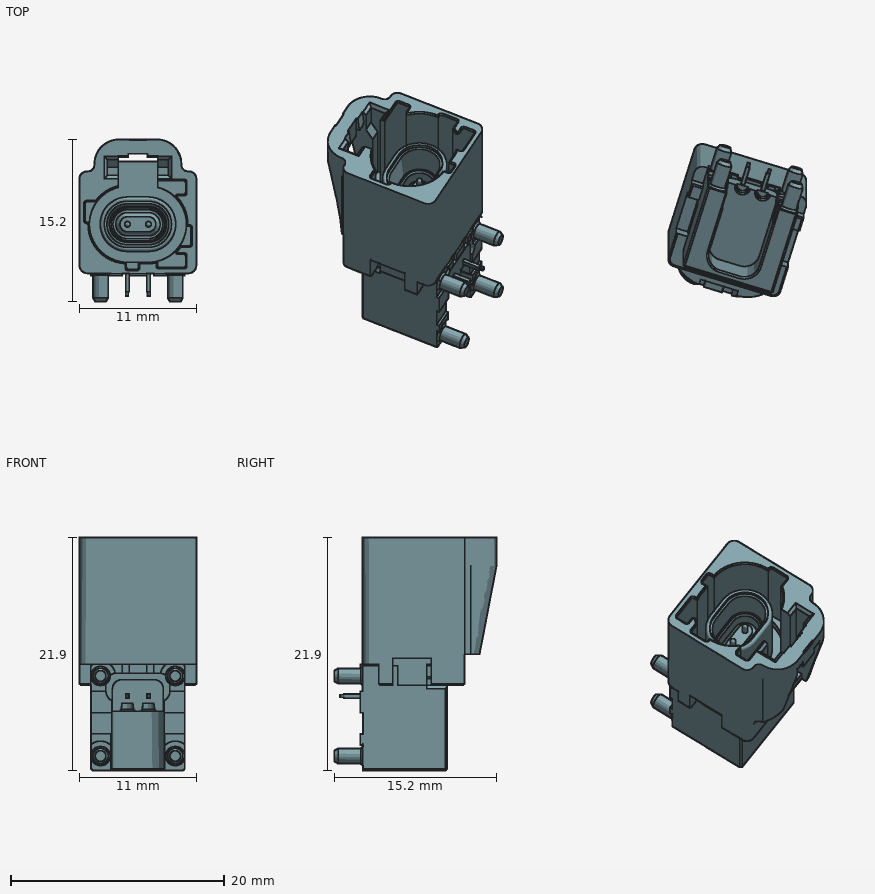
import cadquery as cq
import math

EMBED = 0.22
CONTACT_X = 0.99

TOP_Z = 21.9
HOUSING_HALF_X = 5.5
HOUSING_FRONT_Y = -4.62
HOUSING_BACK_Y = 4.97
HOUSING_BOTTOM_Z = 8.02
HOUSING_FRONT_CORNER = 0.79
HOUSING_BACK_CORNER = 0.72
HOUSING_BOTTOM_CHAMFER = 0.15
FRONT_SKIRT_Z = 10.0
FOOT_FRONT_Y = -3.09
FOOT_BACK_Y = -1.77
WINDOW_BACK_Y = 1.85
WINDOW_TOP_Z = 10.55

HOOD_HALF_X = 4.1
HOOD_BACK_Y = 7.97
HOOD_CORNER_WIDTH = 2.35
HOOD_ROOT_FILLET = 0.6
HOOD_TAPER_TOP_Z = 19.23
HOOD_BOTTOM_Z = 10.9
HOOD_BOTTOM_BACK_Y = 6.37
HOOD_OVERLAP = 0.6
HOOD_NOTCH_HALF_X = 0.77
HOOD_NOTCH_DEPTH = 0.1

FLOOR_Z = 11.83
KEY_FLOOR_Z = 12.7
BORE_R = 3.57
KEY_CORNER = 0.18
LAND_Y = 2.8
LAND_FILLET = 0.22
LAND_TIP_REACH = 0.22
KEYWAYS = (
    (-4.95, -3.28, 0.2, 2.1),
    (3.28, 4.97, -2.01, -0.18),
    (0.88, 4.47, LAND_Y, 4.1),
    (1.85, 4.47, -4.05, -LAND_Y),
    (-1.07, 0.05, -4.23, -3.07),
)
RIM_CHAMFER = 0.13

LATCH_HALF_X = 1.85
LATCH_SHELF_Y = 5.9
LATCH_GAP_Y = 6.29
LATCH_GAP_TOP_Y = 6.44
RELIEF_HALF_X = 0.9
RELIEF_Y = 6.6
HOOD_WINDOW_TOP_Z = 19.38
WINDOW_SIDE_TOP_Z = 20.25
POCKET_HALF_X = 3.18
POCKET_FRONT_Y = 4.27
POCKET_BACK_Y = 6.37
POCKET_LEAD_IN = 0.3
POCKET_LOWER_BACK_Y = 5.37
RAMP_TOP_Z = 19.5
RAMP_BOTTOM_Z = 18.46

SHROUD_R = 2.56
SHROUD_TOP_Z = 18.88
SHROUD_ROUND = 0.26
SHROUD_MOUTH_R = 2.17
SHROUD_MOUTH_DEPTH = 0.33
FUNNEL_TOP_R = 1.93
FUNNEL_BOTTOM_R = 1.69
FUNNEL_DEPTH = 2.63
THROAT_R = 1.53
SHROUD_BORE_R = 1.35
INSERT_R = 1.1
INSERT_TOP_Z = 15.33
INSERT_CHAMFER = 0.4
CONTACT_R = 0.26
CONTACT_TIP_ROUND = 0.22
CONTACT_TOP_Z = 16.42

BASE_HALF_X = 4.4
BASE_FRONT_Y = -4.58
BASE_BACK_Y = 3.33
BASE_CHAMFER = 0.18
BASE_REAR_CHAMFER = 0.33
TAB_HALF_X = 4.38
TAB_FRONT_Y = -1.31
TAB_BACK_Y = 1.4
RECESS_LOWER_X = 3.99
RECESS_UPPER_X = 4.16
RECESS_STEP_Z = 8.63

CHANNEL_HALF_X = 2.45
CHANNEL_WIDE_HALF_X = 2.55
CHANNEL_WIDE_BACK_Y = -3.07
CHANNEL_BACK_Y = 2.63
CHANNEL_CORNER = 1.47
CHANNEL_TOP_Z = 5.56

ARCH_HALF_X = 3.0
ARCH_TOP_Z = 9.15
ARCH_BOTTOM_Z = 6.48
ARCH_CORNER = 0.99
ARCH_DEPTH = 0.35
BLOCK_HALF_X = 2.39
BLOCK_TOP_Z = 8.55
BLOCK_CORNER = 0.85
BLOCK_FRONT_Y = -4.65

PAD_FRONT_Y = -4.85
PAD_HIGH_Z = 7.47
PAD_MID_Z = 5.43
PAD_LOW_Z = 3.45
PAD_GROOVE_INNER_X = 0.8
PAD_GROOVE_OUTER_X = 1.5

PEG_X = 3.5
PEG_Z = (1.38, 8.9)
PEG_R = 0.72
PEG_TIP_Y = -7.27
PEG_TIP_CHAMFER = (0.37, 0.22)
PEG_ROOT_R = 0.9
PEG_ROOT_LENGTH = 0.22
PEG_CLEARANCE_R = 1.4

TAIL_Z = 7.0
TAIL_SIZE = (0.35, 0.42)
TAIL_SHOULDER_Y = -6.35
TAIL_TIP_SIZE = 0.26
TAIL_TIP_Y = -6.75

CONTACT_NOTCH_TOP_Z = 6.35
CONTACT_NOTCH_LIP_Z = 5.75
CONTACT_NOTCH_TOP_R = 0.5
CONTACT_NOTCH_LIP_R = 0.6
CONTACT_NOTCH_BOTTOM_R = 0.75


def box(x0, x1, y0, y1, z0, z1):
    return cq.Workplane("XY").box(x1 - x0, y1 - y0, z1 - z0, centered=False).translate((x0, y0, z0))


def both_sides(solid):
    return solid.union(solid.mirror("YZ"))


def oblong_outline(plane, radius):
    """Oblong with its end arcs centred on the two contacts."""
    return plane.slot2D(2 * (CONTACT_X + radius), 2 * radius)


def oblong(radius, z0, z1):
    return oblong_outline(cq.Workplane("XY").workplane(offset=z0), radius).extrude(z1 - z0)


def oblong_funnel(top_radius, bottom_radius, z0, z1):
    lower = oblong_outline(cq.Workplane("XY").workplane(offset=z0), bottom_radius)
    return oblong_outline(lower.workplane(offset=z1 - z0), top_radius).loft(ruled=True)


def hood_section(plane, back_y):
    """Hood section: concave root fillets into the housing and two broad back corner arcs."""
    root_x = HOOD_HALF_X + HOOD_ROOT_FILLET
    root_y = HOUSING_BACK_Y + HOOD_ROOT_FILLET
    inside_y = HOUSING_BACK_Y - HOOD_OVERLAP
    flat_x = HOOD_HALF_X - HOOD_CORNER_WIDTH
    rise = back_y - root_y
    corner_radius = (HOOD_CORNER_WIDTH**2 + rise**2) / (2 * rise)
    return (
        plane.moveTo(-root_x, inside_y)
        .lineTo(-root_x, HOUSING_BACK_Y)
        .radiusArc((-HOOD_HALF_X, root_y), -HOOD_ROOT_FILLET)
        .radiusArc((-flat_x, back_y), corner_radius)
        .lineTo(flat_x, back_y)
        .radiusArc((HOOD_HALF_X, root_y), corner_radius)
        .radiusArc((root_x, HOUSING_BACK_Y), -HOOD_ROOT_FILLET)
        .lineTo(root_x, inside_y)
        .close()
    )


def hood():
    upper_plane = cq.Workplane("XY").workplane(offset=HOOD_TAPER_TOP_Z)
    straight = hood_section(upper_plane, HOOD_BACK_Y).extrude(TOP_Z - HOOD_TAPER_TOP_Z)
    lower_plane = cq.Workplane("XY").workplane(offset=HOOD_BOTTOM_Z)
    taper = hood_section(lower_plane, HOOD_BOTTOM_BACK_Y).workplane(offset=HOOD_TAPER_TOP_Z - HOOD_BOTTOM_Z)
    taper = hood_section(taper, HOOD_BACK_Y).loft(ruled=True)
    notch = (
        cq.Workplane("YZ")
        .moveTo(HOOD_BACK_Y, TOP_Z)
        .lineTo(HOOD_BACK_Y - HOOD_NOTCH_DEPTH, TOP_Z)
        .lineTo(HOOD_BACK_Y, TOP_Z - 2 * HOOD_NOTCH_DEPTH)
        .close()
        .extrude(HOOD_NOTCH_HALF_X, both=True)
    )
    return straight.union(taper).cut(notch)


def key(x0, x1, y0, y1):
    return box(x0, x1, y0, y1, KEY_FLOOR_Z, TOP_Z).edges("|Z").fillet(KEY_CORNER)


def mating_cavity():
    """Oblong bore with its coding keyways."""
    cavity = oblong(BORE_R, FLOOR_Z, TOP_Z)
    for limits in KEYWAYS:
        cavity = cavity.union(key(*limits))
    for y in (-LAND_Y, LAND_Y):
        tip_x = CONTACT_X + math.sqrt(BORE_R**2 - LAND_Y**2)
        near_tip = cq.selectors.BoxSelector(
            (tip_x - LAND_TIP_REACH, y - LAND_TIP_REACH, FLOOR_Z),
            (tip_x + LAND_TIP_REACH, y + LAND_TIP_REACH, TOP_Z),
        )
        cavity = cavity.edges(near_tip).edges("|Z").fillet(LAND_FILLET)
    return cavity


def latch_pocket():
    below_hood_z = HOOD_BOTTOM_Z - EMBED
    slot = box(-LATCH_HALF_X, LATCH_HALF_X, 0, LATCH_SHELF_Y, FLOOR_Z, TOP_Z)
    gap = (
        cq.Workplane("YZ")
        .moveTo(LATCH_SHELF_Y, below_hood_z)
        .lineTo(LATCH_GAP_Y, below_hood_z)
        .lineTo(LATCH_GAP_Y, WINDOW_SIDE_TOP_Z)
        .lineTo(LATCH_GAP_TOP_Y, TOP_Z)
        .lineTo(LATCH_SHELF_Y, TOP_Z)
        .close()
        .extrude(LATCH_HALF_X, both=True)
    )
    relief = box(-RELIEF_HALF_X, RELIEF_HALF_X, LATCH_SHELF_Y, RELIEF_Y, below_hood_z, TOP_Z)
    window = box(
        -LATCH_HALF_X, LATCH_HALF_X, LATCH_SHELF_Y, HOOD_BACK_Y, below_hood_z, HOOD_WINDOW_TOP_Z
    )
    side_window = box(
        RELIEF_HALF_X, LATCH_HALF_X, LATCH_SHELF_Y, HOOD_BACK_Y, HOOD_WINDOW_TOP_Z, WINDOW_SIDE_TOP_Z
    )
    window = window.union(both_sides(side_window))
    upper_back_y = POCKET_BACK_Y - POCKET_LEAD_IN
    front_y = POCKET_FRONT_Y + POCKET_LEAD_IN
    ramped = (
        cq.Workplane("YZ")
        .moveTo(front_y, KEY_FLOOR_Z)
        .lineTo(POCKET_LOWER_BACK_Y, KEY_FLOOR_Z)
        .lineTo(POCKET_LOWER_BACK_Y, RAMP_BOTTOM_Z)
        .lineTo(upper_back_y, RAMP_TOP_Z)
        .lineTo(upper_back_y, TOP_Z)
        .lineTo(front_y, TOP_Z)
        .close()
        .extrude(POCKET_HALF_X - POCKET_LEAD_IN, both=True)
    )
    lead_in = (
        cq.Workplane("XY")
        .workplane(offset=TOP_Z)
        .center(0, (POCKET_FRONT_Y + POCKET_BACK_Y) / 2)
        .rect(2 * POCKET_HALF_X, POCKET_BACK_Y - POCKET_FRONT_Y)
        .extrude(-POCKET_LEAD_IN, taper=45)
    )
    return slot.union(gap).union(relief).union(window).union(ramped).union(lead_in)


def housing():
    body = box(
        -HOUSING_HALF_X, HOUSING_HALF_X, HOUSING_FRONT_Y, HOUSING_BACK_Y, HOUSING_BOTTOM_Z, TOP_Z
    )
    body = body.edges("|Z and <Y").fillet(HOUSING_FRONT_CORNER)
    body = body.edges("|Z and >Y").fillet(HOUSING_BACK_CORNER)
    front_gap = box(
        -HOUSING_HALF_X, HOUSING_HALF_X, HOUSING_FRONT_Y, FOOT_FRONT_Y, HOUSING_BOTTOM_Z, FRONT_SKIRT_Z
    )
    body = body.cut(front_gap)
    body = body.faces("<Z").edges().chamfer(HOUSING_BOTTOM_CHAMFER)
    body = body.cut(mating_cavity())
    body = body.faces(">Z").wires(cq.selectors.AreaNthSelector(0)).chamfer(RIM_CHAMFER)
    body = body.union(hood()).cut(latch_pocket())
    window = box(
        TAB_HALF_X, HOUSING_HALF_X, FOOT_BACK_Y, WINDOW_BACK_Y, HOUSING_BOTTOM_Z, WINDOW_TOP_Z
    )
    recess = (
        cq.Workplane("XZ", origin=(0, WINDOW_BACK_Y, 0))
        .moveTo(HOUSING_HALF_X, HOUSING_BOTTOM_Z)
        .lineTo(RECESS_LOWER_X, HOUSING_BOTTOM_Z)
        .lineTo(RECESS_LOWER_X, RECESS_STEP_Z)
        .lineTo(RECESS_UPPER_X, RECESS_STEP_Z + BASE_CHAMFER)
        .lineTo(RECESS_UPPER_X, FRONT_SKIRT_Z - BASE_CHAMFER)
        .lineTo(RECESS_UPPER_X - BASE_CHAMFER, FRONT_SKIRT_Z)
        .lineTo(HOUSING_HALF_X, FRONT_SKIRT_Z)
        .close()
        .extrude(WINDOW_BACK_Y - TAB_BACK_Y)
    )
    return body.cut(both_sides(window.union(recess)))


def inner_connector():
    shroud = oblong(SHROUD_R, FLOOR_Z, SHROUD_TOP_Z).faces(">Z").edges().fillet(SHROUD_ROUND)
    mouth_z = SHROUD_TOP_Z - SHROUD_MOUTH_DEPTH
    ledge_z = mouth_z - FUNNEL_DEPTH
    throat_z = ledge_z - (THROAT_R - SHROUD_BORE_R)
    shroud = (
        shroud.cut(oblong(SHROUD_MOUTH_R, mouth_z, SHROUD_TOP_Z))
        .cut(oblong_funnel(FUNNEL_TOP_R, FUNNEL_BOTTOM_R, ledge_z, mouth_z))
        .cut(oblong_funnel(THROAT_R, SHROUD_BORE_R, throat_z, ledge_z))
        .cut(oblong(SHROUD_BORE_R, FLOOR_Z, throat_z))
    )
    insert = oblong(INSERT_R, FLOOR_Z, INSERT_TOP_Z).faces(">Z").edges().chamfer(INSERT_CHAMFER)
    contacts = (
        cq.Workplane("XY")
        .workplane(offset=FLOOR_Z)
        .pushPoints([(-CONTACT_X, 0), (CONTACT_X, 0)])
        .circle(CONTACT_R)
        .extrude(CONTACT_TOP_Z - FLOOR_Z)
        .faces(">Z")
        .edges()
        .fillet(CONTACT_TIP_ROUND)
    )
    return shroud.union(insert).union(contacts)


def front_prism(half_x, z0, z1, corner, y0, y1):
    """Block seen square-on from the front, with its two upper corners rounded."""
    return box(-half_x, half_x, y0, y1, z0, z1).edges("|Y and >Z").fillet(corner)


def channel_prism(half_x, front_y, back_y, corner, z0, z1):
    return box(-half_x, half_x, front_y, back_y, z0, z1).edges("|Z and >Y").fillet(corner)


def channel():
    """Open-fronted channel between the legs, with a chamfer around its lower edge."""
    main = channel_prism(
        CHANNEL_HALF_X, PAD_FRONT_Y, CHANNEL_BACK_Y, CHANNEL_CORNER, 0, CHANNEL_TOP_Z
    )
    wide = box(
        -CHANNEL_WIDE_HALF_X, CHANNEL_WIDE_HALF_X, PAD_FRONT_Y, CHANNEL_WIDE_BACK_Y, 0, PAD_LOW_Z
    )
    flare_outline = channel_prism(
        CHANNEL_HALF_X + BASE_CHAMFER,
        PAD_FRONT_Y - BASE_CHAMFER,
        CHANNEL_BACK_Y + BASE_CHAMFER,
        CHANNEL_CORNER + BASE_CHAMFER,
        0,
        BASE_CHAMFER,
    ).faces("<Z").wires()
    flare = cq.Workplane("XY").add(flare_outline.vals()).toPending().extrude(BASE_CHAMFER, taper=45)
    return main.union(wide).union(flare)


def arch():
    """Shallow arched recess that frames the terminal block."""
    back_y = BASE_FRONT_Y + ARCH_DEPTH
    recess = front_prism(ARCH_HALF_X, ARCH_BOTTOM_Z, ARCH_TOP_Z, ARCH_CORNER, PAD_FRONT_Y, back_y)
    recess = recess.edges("|Y and <Z").fillet(ARCH_CORNER)
    stem = box(
        -CHANNEL_HALF_X, CHANNEL_HALF_X, PAD_FRONT_Y, back_y, CHANNEL_TOP_Z, ARCH_BOTTOM_Z + ARCH_CORNER
    )
    return recess.union(stem)


def terminal_block():
    return front_prism(
        BLOCK_HALF_X, CHANNEL_TOP_Z, BLOCK_TOP_Z, BLOCK_CORNER, BLOCK_FRONT_Y, TAB_FRONT_Y
    )


def peg_discs(radius, y0, y1):
    return (
        cq.Workplane("XZ", origin=(0, y1, 0))
        .pushPoints([(side * PEG_X, z) for side in (-1, 1) for z in PEG_Z])
        .circle(radius)
        .extrude(y1 - y0)
    )


def standoff_pads():
    def pad(x0, x1, z0, z1):
        return box(x0, x1, PAD_FRONT_Y, BASE_FRONT_Y, z0, z1)

    pads = (
        pad(-BASE_HALF_X, BASE_HALF_X, PAD_MID_Z, PAD_HIGH_Z)
        .union(pad(-BASE_HALF_X, BASE_HALF_X, PEG_Z[0], PAD_LOW_Z))
        .union(pad(-BASE_HALF_X, BASE_HALF_X, PEG_Z[1], FRONT_SKIRT_Z))
    )
    groove = pad(PAD_GROOVE_INNER_X, PAD_GROOVE_OUTER_X, PEG_Z[1], FRONT_SKIRT_Z)
    return pads.cut(peg_discs(PEG_CLEARANCE_R, PAD_FRONT_Y, BASE_FRONT_Y)).cut(both_sides(groove))


def peg(x, z):
    chamfer_length, chamfer_width = PEG_TIP_CHAMFER
    profile = (
        cq.Workplane("XY")
        .moveTo(0, BASE_FRONT_Y + EMBED)
        .lineTo(PEG_ROOT_R, BASE_FRONT_Y + EMBED)
        .lineTo(PEG_ROOT_R, BASE_FRONT_Y)
        .lineTo(PEG_R, BASE_FRONT_Y - PEG_ROOT_LENGTH)
        .lineTo(PEG_R, PEG_TIP_Y + chamfer_length)
        .lineTo(PEG_R - chamfer_width, PEG_TIP_Y)
        .lineTo(0, PEG_TIP_Y)
        .close()
    )
    return profile.revolve(360, (0, 0, 0), (0, 1, 0)).translate((x, 0, z))


def contact_notch():
    profile = (
        cq.Workplane("XZ")
        .moveTo(0, CHANNEL_TOP_Z)
        .lineTo(CONTACT_NOTCH_BOTTOM_R, CHANNEL_TOP_Z)
        .lineTo(CONTACT_NOTCH_LIP_R, CONTACT_NOTCH_LIP_Z)
        .lineTo(CONTACT_NOTCH_TOP_R, CONTACT_NOTCH_TOP_Z)
        .lineTo(0, CONTACT_NOTCH_TOP_Z)
        .close()
    )
    return profile.revolve(360, (0, 0, 0), (0, 1, 0)).translate((CONTACT_X, BLOCK_FRONT_Y, 0))


def tail():
    width, height = TAIL_SIZE
    shank = box(
        CONTACT_X - width / 2, CONTACT_X + width / 2, TAIL_SHOULDER_Y, BLOCK_FRONT_Y + EMBED,
        TAIL_Z - height / 2, TAIL_Z + height / 2,
    )
    outer_x = CONTACT_X + width / 2
    tip = box(
        outer_x - TAIL_TIP_SIZE, outer_x, TAIL_TIP_Y, TAIL_SHOULDER_Y,
        TAIL_Z - TAIL_TIP_SIZE / 2, TAIL_Z + TAIL_TIP_SIZE / 2,
    )
    return shank.union(tip)


def base():
    legs = box(-BASE_HALF_X, BASE_HALF_X, BASE_FRONT_Y, BASE_BACK_Y, 0, HOUSING_BOTTOM_Z)
    legs = legs.edges("(|Z and >Y) or (|X and >Y and <Z) or (|Y and <Z)").chamfer(BASE_CHAMFER)
    legs = legs.edges("|Y and >Z").chamfer(BASE_REAR_CHAMFER)
    shoulder = box(-BASE_HALF_X, BASE_HALF_X, BASE_FRONT_Y, TAB_FRONT_Y, PAD_MID_Z, FRONT_SKIRT_Z)
    shoulder = shoulder.edges("|Y and >Z").chamfer(BASE_CHAMFER)
    neck = box(-BASE_HALF_X, BASE_HALF_X, TAB_FRONT_Y, TAB_BACK_Y, PAD_MID_Z, HOUSING_BOTTOM_Z)
    body = legs.union(shoulder).union(neck).union(standoff_pads())
    body = body.cut(arch()).cut(channel()).union(terminal_block())
    body = body.cut(both_sides(contact_notch()))
    for side in (-1, 1):
        for z in PEG_Z:
            body = body.union(peg(side * PEG_X, z))
    return body.union(both_sides(tail()))


result = housing().union(inner_connector()).union(base())